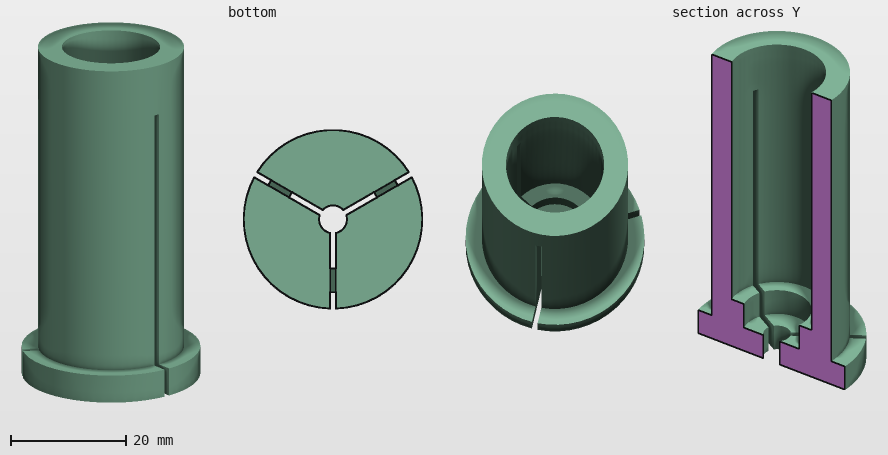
import cadquery as cq

total_height = 60.0
flange_diameter = 31.0
flange_height = 5.0
body_diameter = 25.4

bore_diameter = 17.05
bore_floor_z = 2 * flange_height
step_diameter = 12.0
step_floor_z = flange_height
through_hole_diameter = 4.8

slot_count = 3
slot_width = 1.0
slot_top_z = 51.0
first_slot_angle = 90.0


def cylinder(diameter, bottom_z, top_z):
    """Upright cylinder on the Z axis between two heights."""
    return cq.Workplane("XY").workplane(offset=bottom_z).circle(diameter / 2).extrude(top_z - bottom_z)


def radial_slot(angle):
    """Thin cutter from the axis out past the flange rim, open at the bottom."""
    cutter = cq.Workplane("XY").box(
        flange_diameter, slot_width, slot_top_z, centered=(False, True, False)
    )
    return cutter.rotate((0, 0, 0), (0, 0, 1), angle)


sleeve = cylinder(body_diameter, 0, total_height)
sleeve = sleeve.union(cylinder(flange_diameter, 0, flange_height))

sleeve = sleeve.cut(cylinder(bore_diameter, bore_floor_z, total_height))
sleeve = sleeve.cut(cylinder(step_diameter, step_floor_z, bore_floor_z))
sleeve = sleeve.cut(cylinder(through_hole_diameter, 0, step_floor_z))

for index in range(slot_count):
    sleeve = sleeve.cut(radial_slot(first_slot_angle + index * 360 / slot_count))

result = sleeve